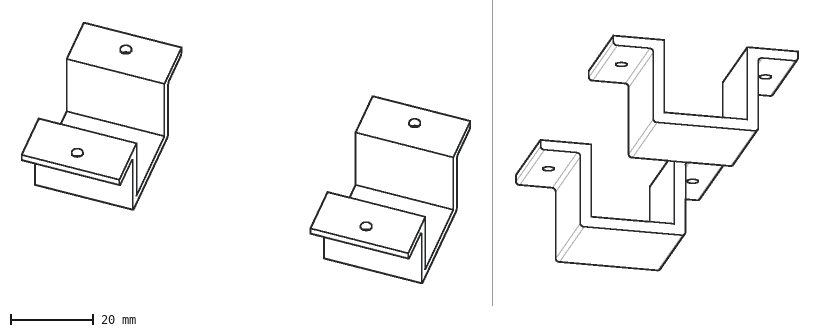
import cadquery as cq

overall_length = 99.0
bracket_length = 25.0
overall_width = 46.0
height = 21.5

channel_width = 20.7
wall = 2.8
flange_thickness = 2.5
edge_radius = 0.9

hole_diameter = 2.8
hole_spacing = 35.9

body_width = channel_width + 2 * wall
bracket_pitch = overall_length - bracket_length


def centered_box(width, bottom, top):
    """Bar along X, centred on X and Y, spanning bottom to top in Z."""
    return (
        cq.Workplane("XY", origin=(0, 0, bottom))
        .box(bracket_length, width, top - bottom, centered=(True, True, False))
    )


def make_bracket(center_x):
    """U-channel with a drilled flange on each side."""
    channel = centered_box(body_width, 0, height)
    flanges = centered_box(overall_width, height - flange_thickness, height)
    bracket = channel.union(flanges)

    bracket = bracket.edges("|X").edges(cq.selectors.BoxSelector(
        (-bracket_length, -overall_width, -wall),
        (bracket_length, overall_width, height - flange_thickness / 2),
    )).fillet(edge_radius)

    bracket = bracket.cut(centered_box(channel_width, wall, height))

    holes = (
        cq.Workplane("XY", origin=(0, 0, height - flange_thickness))
        .pushPoints([(0, -hole_spacing / 2), (0, hole_spacing / 2)])
        .circle(hole_diameter / 2)
        .extrude(flange_thickness)
    )
    return bracket.cut(holes).translate((center_x, 0, 0))


brackets = []
for side in (-1, 1):
    brackets.append(make_bracket(side * bracket_pitch / 2).val())

bracket_solids = [solid for bracket in brackets for solid in bracket.Solids()]
result = cq.Compound.makeCompound(bracket_solids)